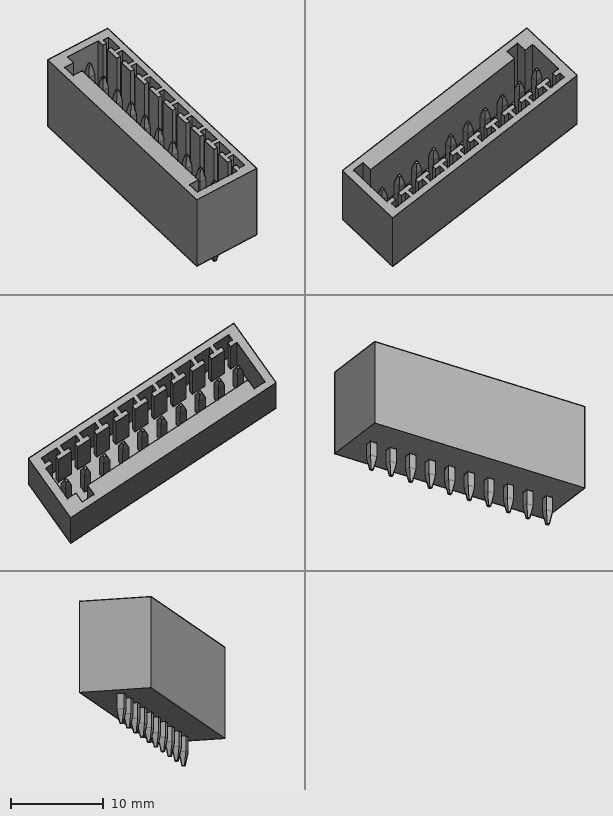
import cadquery as cq

LENGTH = 26.9
WIDTH = 8.1
HEIGHT = 10.1
FLOOR_THICKNESS = 1.2

CAVITY_LENGTH = 25.02
CAVITY_WIDTH = 4.15

SLOT_HEAD_WIDTH = 2.02
SLOT_NECK_WIDTH = 0.8
SLOT_NECK_DEPTH = 0.5
RECESS_DEPTH = 1.2
LEFT_NOTCH_WIDTH = 1.53
LEFT_NOTCH_INSET = 1.1
RIGHT_NOTCH_WIDTH = 1.4

PIN_COUNT = 10
PIN_PITCH = 2.5
PIN_ROW_Y = -0.03
PIN_SIZE = 0.8
PIN_TIP_SIZE = 0.3
PIN_TAPER = 1.5
OVERALL_HEIGHT = 13.3
PIN_TOP_BELOW_RIM = 1.32
PIN_BOTTOM = HEIGHT - OVERALL_HEIGHT
PIN_TOP = HEIGHT - PIN_TOP_BELOW_RIM

pin_positions = [(i - (PIN_COUNT - 1) / 2) * PIN_PITCH for i in range(PIN_COUNT)]
cavity_back = CAVITY_WIDTH / 2
cavity_front = -CAVITY_WIDTH / 2
cavity_left = -CAVITY_LENGTH / 2
cavity_right = CAVITY_LENGTH / 2


def cavity_block(x_min, x_max, y_min, y_max):
    """Box from the cavity floor up to the open top of the housing."""
    return (
        cq.Workplane("XY")
        .box(x_max - x_min, y_max - y_min, HEIGHT - FLOOR_THICKNESS, centered=False)
        .translate((x_min, y_min, FLOOR_THICKNESS))
    )


def make_slot(x):
    """T-shaped slot: a narrow neck opening into a wider head near the back face."""
    neck_end = cavity_back + SLOT_NECK_DEPTH
    neck = cavity_block(x - SLOT_NECK_WIDTH / 2, x + SLOT_NECK_WIDTH / 2, cavity_back, neck_end)
    head = cavity_block(
        x - SLOT_HEAD_WIDTH / 2, x + SLOT_HEAD_WIDTH / 2, neck_end, cavity_back + RECESS_DEPTH
    )
    return neck.union(head)


def make_cavity():
    """Main cavity with its back slots and its two unequal keying notches."""
    cavity = cavity_block(cavity_left, cavity_right, cavity_front, cavity_back)
    for x in pin_positions:
        cavity = cavity.union(make_slot(x))
    notch_front = cavity_front - RECESS_DEPTH
    left_start = cavity_left + LEFT_NOTCH_INSET
    left_notch = cavity_block(left_start, left_start + LEFT_NOTCH_WIDTH, notch_front, cavity_front)
    right_notch = cavity_block(
        cavity_right - RIGHT_NOTCH_WIDTH, cavity_right, notch_front, cavity_front
    )
    return cavity.union(left_notch).union(right_notch)


def make_pin_tip(x, base_z, rise):
    """Tapered pin end; a positive rise points it up and a negative rise points it down."""
    return (
        cq.Workplane("XY", origin=(x, PIN_ROW_Y, base_z))
        .rect(PIN_SIZE, PIN_SIZE)
        .workplane(offset=rise)
        .rect(PIN_TIP_SIZE, PIN_TIP_SIZE)
        .loft()
    )


def make_pin(x):
    """Square pin through the floor, tapered to a blunt tip at both ends."""
    shank_bottom = PIN_BOTTOM + PIN_TAPER
    shank_top = PIN_TOP - PIN_TAPER
    shank = (
        cq.Workplane("XY", origin=(x, PIN_ROW_Y, shank_bottom))
        .rect(PIN_SIZE, PIN_SIZE)
        .extrude(shank_top - shank_bottom)
    )
    upper_tip = make_pin_tip(x, shank_top, PIN_TAPER)
    lower_tip = make_pin_tip(x, shank_bottom, -PIN_TAPER)
    return shank.union(upper_tip).union(lower_tip)


def make_housing(integral_pin, separate_pins):
    """Open box with one pin as part of it and a matching floor hole for each other pin."""
    block = cq.Workplane("XY").box(LENGTH, WIDTH, HEIGHT, centered=(True, True, False))
    housing = block.cut(make_cavity())
    for pin in separate_pins:
        housing = housing.cut(pin)
    return housing.union(integral_pin)


first_pin, *pins = [make_pin(x) for x in pin_positions]
housing = make_housing(first_pin, pins)

result = cq.Compound.makeCompound([housing.solids().val(), *[pin.solids().val() for pin in pins]])